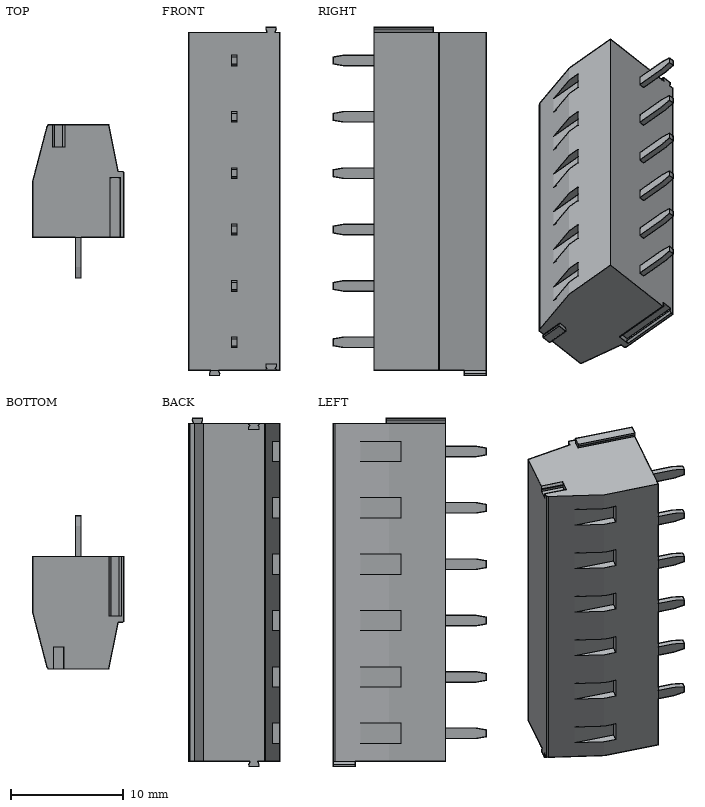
import cadquery as cq

total_height = 31.0
total_depth = 13.65
body_width = 8.1
body_depth = 10.0

pole_count = 6
rail_height = 0.45
body_height = total_height - 2 * rail_height
pole_pitch = body_height / pole_count

left_taper_depth = 5.0
left_taper_inset = 1.3
right_taper_depth = 4.15
right_taper_inset = 1.33
right_step_width = 0.5
back_chamfer_width = 0.12
back_chamfer_depth = 0.2
step_chamfer = 0.1

window_height = 1.8
window_back_offset = 2.45
window_length = 3.6
window_floor_inset = left_taper_inset * (1 - window_back_offset / left_taper_depth)

pin_width = 0.5
pin_height = 0.95
pin_tip_height = 0.62
pin_tip_length = 0.95
pin_length = total_depth - body_depth

rail_base_width = 0.7
rail_wide_width = 0.93
rail_tip_width = 0.87
rail_wide_level = 0.28
groove_depth = 0.55
groove_mouth_width = 1.12
groove_neck_width = 0.75
groove_neck_level = 0.2
groove_wide_level = 0.35
groove_floor_width = 0.93

front_rail_length = 5.3
front_rail_right_offset = 0.78
back_rail_length = 1.98
back_rail_left_offset = 2.3

left = -body_width / 2
right = body_width / 2
top = body_height / 2
bottom = -top
front_rail_x = right - front_rail_right_offset
back_rail_x = left + back_rail_left_offset
pole_levels = [bottom + (i + 0.5) * pole_pitch for i in range(pole_count)]


def make_body():
    """Housing: one constant outline extruded along Z."""
    step_y = body_depth - right_taper_depth
    chamfer_x = left + left_taper_inset * (1 - back_chamfer_depth / left_taper_depth)
    outline = [
        (left, 0),
        (right, 0),
        (right, step_y - step_chamfer),
        (right - step_chamfer, step_y),
        (right - right_step_width, step_y),
        (right - right_taper_inset, body_depth),
        (chamfer_x + back_chamfer_width, body_depth),
        (chamfer_x, body_depth - back_chamfer_depth),
        (left, body_depth - left_taper_depth),
    ]
    return cq.Workplane("XY").workplane(offset=bottom).polyline(outline).close().extrude(body_height)


def make_window(level):
    """Flat-floored pocket that runs out on the sloping left face."""
    return cq.Workplane("XY").box(
        window_floor_inset, window_length, window_height, centered=(False, False, True)
    ).translate((left, body_depth - window_back_offset - window_length, level))


def make_pin(level):
    """Flat pin on the front face, tapered in height at its tip."""
    half = pin_height / 2
    half_tip = pin_tip_height / 2
    taper_y = pin_tip_length - pin_length
    outline = [
        (0, half),
        (taper_y, half),
        (-pin_length, half_tip),
        (-pin_length, -half_tip),
        (taper_y, -half),
        (0, -half),
    ]
    pin = cq.Workplane("YZ").polyline(outline).close().extrude(pin_width / 2, both=True)
    return pin.translate((0, 0, level))


def make_prism(section, x, z, y_start, length):
    """Symmetric prism along Y; section lists (width, height above z) from base to tip."""
    right_side = [(x + width / 2, z + height) for width, height in section]
    left_side = [(x - width / 2, z + height) for width, height in reversed(section)]
    prism = cq.Workplane("XZ").polyline(right_side + left_side).close().extrude(-length)
    return prism.translate((0, y_start, 0))


def rail_section(direction):
    """Rail growing outward: direction is 1 for up and -1 for down."""
    return [
        (rail_base_width, 0),
        (rail_wide_width, direction * rail_wide_level),
        (rail_tip_width, direction * rail_height),
    ]


def groove_section(direction):
    """Undercut groove with a flared mouth, cut inward along the given direction."""
    return [
        (groove_mouth_width, 0),
        (groove_neck_width, direction * groove_neck_level),
        (groove_floor_width, direction * groove_wide_level),
        (groove_floor_width, direction * groove_depth),
    ]


result = make_body()
for pole_level in pole_levels:
    result = result.cut(make_window(pole_level)).union(make_pin(pole_level))

back_rail_y = body_depth - back_rail_length
result = (
    result.union(make_prism(rail_section(1), front_rail_x, top, 0, front_rail_length))
    .cut(make_prism(groove_section(1), front_rail_x, bottom, 0, front_rail_length))
    .union(make_prism(rail_section(-1), back_rail_x, bottom, back_rail_y, back_rail_length))
    .cut(make_prism(groove_section(-1), back_rail_x, top, back_rail_y, back_rail_length))
)